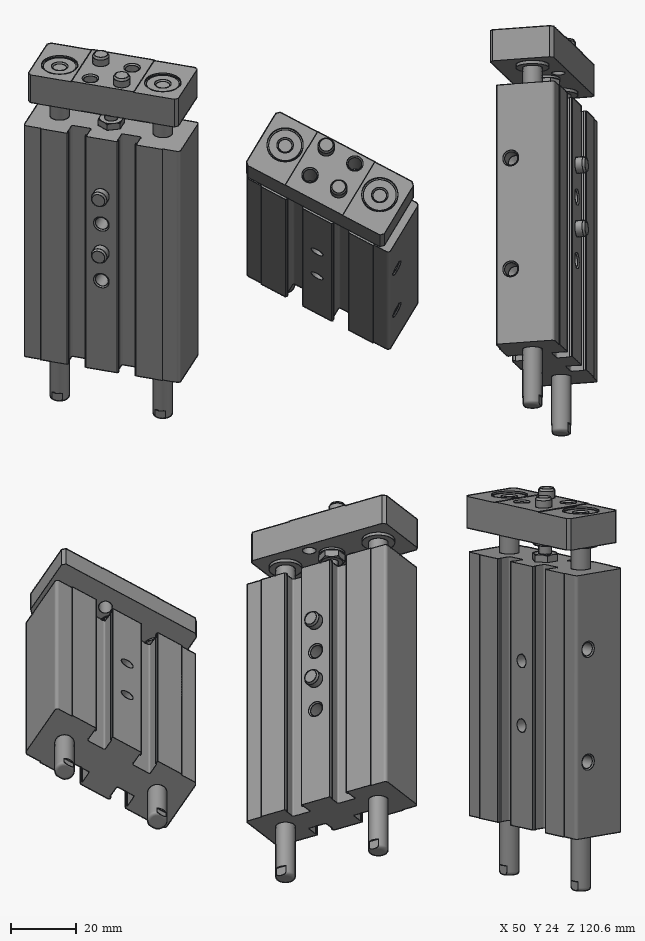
import cadquery as cq
import math


HOUSING_WIDTH = 50.0
HOUSING_HEIGHT = 81.6
PAD_FACE_Y = 9.5
PAD_RISE = 0.3
PAD_HALF_WIDTH = 19.5
HOUSING_CORNER_RADIUS = 1.0

SLOT_X = 8.0
SLOT_MOUTH = 5.4
SLOT_LIP_RADIUS = 0.3
SLOT_LIP_THICKNESS = 1.0
SLOT_WIDTH = 6.2
SLOT_DEPTH = 5.0
SLOT_FLOOR_RADIUS = 0.5

THREAD_DIAMETER = 5.0
CORE_DIAMETER = 4.13
THREAD_CHAMFER = (THREAD_DIAMETER - CORE_DIAMETER) / 2

DOWEL_RISE = 3.0
DOWEL_SEAT = 5.0
DOWEL_TIP = 0.75

FRONT_DOWEL_Z = (61.6, 41.6)
FRONT_HOLE_Z = (51.6, 31.6)

PORT_Y = 4.5
PORT_Z = (58.3, 23.4)
PORT_DEPTH = 5.0
DRILL_POINT_ANGLE = 118.0

ROD_X = 16.5
ROD_DIAMETER = 6.0
ROD_BOTTOM_Z = -18.0
ROD_END_RADIUS = 1.0
ROD_FLATS = 5.0
ROD_FLAT_HEIGHT = 3.0
ROD_HEAD_DIAMETER = 10.0
ROD_COLLAR = 1.0

PLATE_GAP = 8.0
PLATE_WIDTH = 48.0
PLATE_FRONT_Y = -8.5
PLATE_BACK_Y = 11.5
PLATE_THICKNESS = 10.0
PLATE_CHAMFER = 1.0
MIDDLE_WIDTH = 20.0
MIDDLE_RISE = 0.2
HEAD_RECESS_DIAMETER = 11.0
HEAD_RECESS_DEPTH = 0.5
MOUNT_OFFSET = 5.0

PISTON_DIAMETER = 4.0
PISTON_WASHER_DIAMETER = 8.0
PISTON_WASHER = 0.7
NUT_FLATS = 7.0
NUT_HEIGHT = 2.4
LOCKNUT_HEIGHT = 2.2
NUT_END_DIAMETER = 6.6
LOCKNUT_END_DIAMETER = 7.2
NUT_CHAMFER_ANGLE = 30.0

PLATE_BOTTOM_Z = HOUSING_HEIGHT + PLATE_GAP
PLATE_TOP_Z = PLATE_BOTTOM_Z + PLATE_THICKNESS
SHOULDER_TOP_Z = PLATE_TOP_Z - MIDDLE_RISE
ROD_TOP_Z = SHOULDER_TOP_Z - HEAD_RECESS_DEPTH


def cylinder(diameter, bottom, top, x=0.0):
    """Upright cylinder between two heights."""
    return cq.Workplane("XY", origin=(x, 0, bottom)).circle(diameter / 2).extrude(top - bottom)


def threaded_hole(depth, pointed):
    """Cutter along +Z from the mouth at Z = 0: mouth chamfer, core bore and an optional drill point."""
    mouth = THREAD_DIAMETER / 2
    core = CORE_DIAMETER / 2
    points = [(0, 0), (mouth, 0), (core, THREAD_CHAMFER), (core, depth)]
    point_length = core / math.tan(math.radians(DRILL_POINT_ANGLE / 2)) if pointed else 0.0
    points.append((0, depth + point_length))
    return cq.Workplane("XZ").polyline(points).close().revolve(360, (0, 0), (0, 1))


def dowel():
    """Dowel along +Z, seated below Z = 0, with a tapered tip."""
    radius = THREAD_DIAMETER / 2
    points = [
        (0, -DOWEL_SEAT),
        (radius, -DOWEL_SEAT),
        (radius, DOWEL_RISE - DOWEL_TIP),
        (CORE_DIAMETER / 2, DOWEL_RISE),
        (0, DOWEL_RISE),
    ]
    return cq.Workplane("XZ").polyline(points).close().revolve(360, (0, 0), (0, 1))


def dowel_seat():
    """Cutter for the blind seat of a dowel."""
    return cylinder(THREAD_DIAMETER, -DOWEL_SEAT, 0)


def on_front(shape, z):
    """Turn a +Z shape to point out of the housing's front face at height z."""
    return shape.rotate((0, 0, 0), (1, 0, 0), 90).translate((0, -PAD_FACE_Y, z))


def slot_cutter(x):
    """T-slot in the front face: rounded lips at the mouth and a wider channel with a rounded floor."""
    mouth = SLOT_MOUTH / 2
    rim = mouth + SLOT_LIP_RADIUS
    channel = (
        cq.Workplane("XY", origin=(x, (SLOT_DEPTH + SLOT_LIP_THICKNESS) / 2 - PAD_FACE_Y, 0))
        .box(SLOT_WIDTH, SLOT_DEPTH - SLOT_LIP_THICKNESS, HOUSING_HEIGHT, centered=(True, True, False))
        .edges("|Z and >Y")
        .fillet(SLOT_FLOOR_RADIUS)
    )
    opening = (
        cq.Workplane("XY", origin=(x, -PAD_FACE_Y, 0))
        .moveTo(-rim, 0)
        .lineTo(rim, 0)
        .radiusArc((mouth, SLOT_LIP_RADIUS), -SLOT_LIP_RADIUS)
        .lineTo(mouth, SLOT_LIP_THICKNESS)
        .lineTo(-mouth, SLOT_LIP_THICKNESS)
        .lineTo(-mouth, SLOT_LIP_RADIUS)
        .radiusArc((-rim, 0), -SLOT_LIP_RADIUS)
        .close()
        .extrude(HOUSING_HEIGHT)
    )
    return channel.union(opening)


def make_housing():
    core_depth = 2 * (PAD_FACE_Y - PAD_RISE)
    centered = (True, True, False)
    body = cq.Workplane("XY").box(HOUSING_WIDTH, core_depth, HOUSING_HEIGHT, centered=centered)
    body = body.edges("|Z").fillet(HOUSING_CORNER_RADIUS)
    pads = cq.Workplane("XY").box(2 * PAD_HALF_WIDTH, 2 * PAD_FACE_Y, HOUSING_HEIGHT, centered=centered)
    body = body.union(pads)

    for x in (-SLOT_X, SLOT_X):
        front_slot = slot_cutter(x)
        body = body.cut(front_slot).cut(front_slot.mirror("XZ"))

    for x in (-ROD_X, ROD_X):
        body = body.cut(cylinder(ROD_DIAMETER, 0, HOUSING_HEIGHT, x))

    for z in FRONT_DOWEL_Z:
        body = body.cut(on_front(dowel_seat(), z))

    through_hole = threaded_hole(2 * PAD_FACE_Y, False).rotate((0, 0, 0), (1, 0, 0), 180)
    for z in FRONT_HOLE_Z:
        body = body.cut(on_front(through_hole, z))

    port = threaded_hole(PORT_DEPTH, True).rotate((0, 0, 0), (0, 1, 0), 90)
    for z in PORT_Z:
        body = body.cut(port.translate((-HOUSING_WIDTH / 2, PORT_Y, z)))
    return body


def make_guide_rod(x):
    rod = cylinder(ROD_DIAMETER, ROD_BOTTOM_Z, PLATE_BOTTOM_Z).faces("<Z").fillet(ROD_END_RADIUS)
    flat_depth = (ROD_DIAMETER - ROD_FLATS) / 2
    for side in (-1, 1):
        flat = cq.Workplane("XY", origin=(0, side * (ROD_FLATS + flat_depth) / 2, ROD_BOTTOM_Z)).box(
            ROD_DIAMETER, flat_depth, ROD_FLAT_HEIGHT, centered=(True, True, False)
        )
        rod = rod.cut(flat)
    rod = rod.union(cylinder(ROD_HEAD_DIAMETER, PLATE_BOTTOM_Z - ROD_COLLAR, ROD_TOP_Z))

    recess_floor = cq.Vector(0, 0, ROD_TOP_Z - THREAD_CHAMFER)
    recess = cq.Solid.makeCone(CORE_DIAMETER / 2, THREAD_DIAMETER / 2, THREAD_CHAMFER, pnt=recess_floor)
    rod = rod.cut(cq.Workplane(recess))
    return rod.translate((x, 0, 0))


def make_nut(height, end_diameter):
    """Hex nut standing on Z = 0 with its points along Y and its top end chamfered down to a circle."""
    point_radius = NUT_FLATS / 2 / math.cos(math.pi / 6)
    end_radius = end_diameter / 2
    chamfer_height = (point_radius - end_radius) * math.tan(math.radians(NUT_CHAMFER_ANGLE))
    hexagon = cq.Workplane("XY").polygon(6, 2 * point_radius).extrude(height)
    hexagon = hexagon.rotate((0, 0, 0), (0, 0, 1), 90)
    points = [
        (0, 0),
        (point_radius, 0),
        (point_radius, height - chamfer_height),
        (end_radius, height),
        (0, height),
    ]
    envelope = cq.Workplane("XZ").polyline(points).close().revolve(360, (0, 0), (0, 1))
    return hexagon.intersect(envelope)


def make_end_plate():
    depth = PLATE_BACK_Y - PLATE_FRONT_Y
    center_y = (PLATE_BACK_Y + PLATE_FRONT_Y) / 2
    plate = cq.Workplane("XY", origin=(0, center_y, PLATE_BOTTOM_Z)).box(
        PLATE_WIDTH, depth, PLATE_THICKNESS - MIDDLE_RISE, centered=(True, True, False)
    )
    plate = plate.edges("|Z").chamfer(PLATE_CHAMFER)
    middle = cq.Workplane("XY", origin=(0, center_y, PLATE_BOTTOM_Z)).box(
        MIDDLE_WIDTH, depth, PLATE_THICKNESS, centered=(True, True, False)
    )
    plate = plate.union(middle)

    for x in (-ROD_X, ROD_X):
        plate = plate.cut(cylinder(ROD_HEAD_DIAMETER, PLATE_BOTTOM_Z, PLATE_TOP_Z, x))
        plate = plate.cut(cylinder(HEAD_RECESS_DIAMETER, ROD_TOP_Z, SHOULDER_TOP_Z, x))

    through_hole = threaded_hole(PLATE_THICKNESS, False).rotate((0, 0, 0), (1, 0, 0), 180)
    for side in (-1, 1):
        hole_x = side * MOUNT_OFFSET
        plate = plate.cut(through_hole.translate((hole_x, hole_x, PLATE_TOP_Z)))
        plate = plate.cut(dowel_seat().translate((hole_x, -hole_x, PLATE_TOP_Z)))

    washer_bottom = PLATE_BOTTOM_Z - PISTON_WASHER
    plate = plate.union(cylinder(PISTON_WASHER_DIAMETER, washer_bottom, PLATE_BOTTOM_Z))
    nut = make_nut(NUT_HEIGHT, NUT_END_DIAMETER).rotate((0, 0, 0), (1, 0, 0), 180)
    plate = plate.union(nut.translate((0, 0, washer_bottom)))
    plate = plate.union(cylinder(PISTON_DIAMETER, HOUSING_HEIGHT, washer_bottom))
    locknut = make_nut(LOCKNUT_HEIGHT, LOCKNUT_END_DIAMETER)
    return plate.union(locknut.translate((0, 0, HOUSING_HEIGHT)))


housing = make_housing()
end_plate = make_end_plate()
guide_rods = [make_guide_rod(x) for x in (-ROD_X, ROD_X)]
front_dowels = [on_front(dowel(), z) for z in FRONT_DOWEL_Z]
top_dowels = [
    dowel().translate((side * MOUNT_OFFSET, -side * MOUNT_OFFSET, PLATE_TOP_Z)) for side in (-1, 1)
]

bodies = [housing, end_plate, *guide_rods, *front_dowels, *top_dowels]
result = cq.Compound.makeCompound([body.val() for body in bodies])